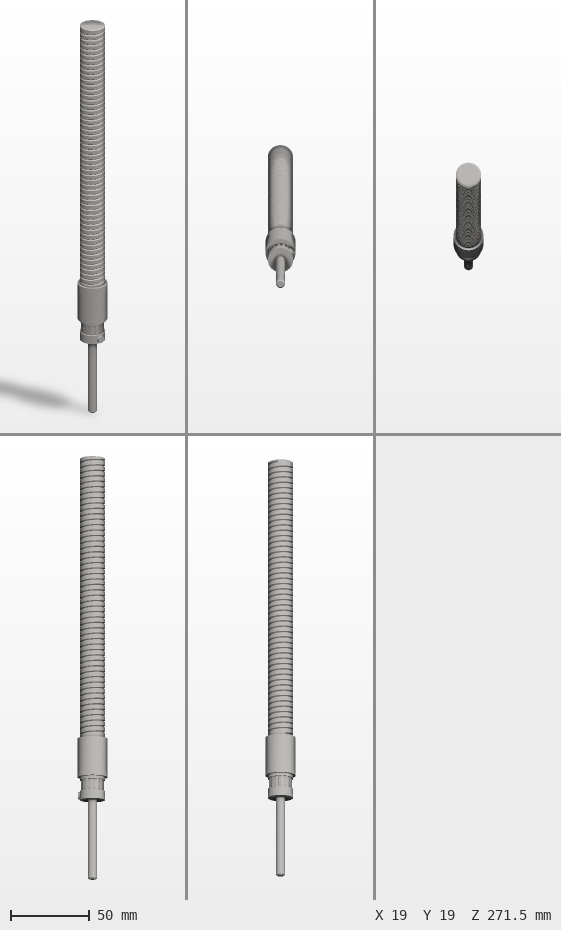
import cadquery as cq
import math

total_height = 271.5
rod_bottom = 63.8
sleeve_bottom = 65.7
sleeve_length = 25.0
ring_top = 56.8
ring_bottom = 51.0

sleeve_radius = 19.0 / 2
rod_radius = 16.0 / 2
ring_radius = rod_radius
spline_radius = 7.3
shaft_radius = 5.7 / 2

rod_chamfer_height = 0.5
rod_chamfer_width = 1.0
shaft_chamfer = 0.8

thread_length = 178.2
thread_turns = 50.9
thread_pitch = thread_length / thread_turns
thread_end_height = 270.0
thread_end_angle = 180.0
groove_width = 1.22
groove_depth = 0.8
groove_overshoot = 0.3

tooth_count = 14
tooth_depth = 0.5
first_gap_angle = 9.6

peg_radius = 2.3
peg_reach = 9.2
peg_angle = -15.0


def cylinder(radius, bottom, top):
    return cq.Workplane("XY").workplane(offset=bottom).circle(radius).extrude(top - bottom)


def make_thread_groove():
    """V-shaped cutter swept up a helix that ends at thread_end_height and thread_end_angle."""
    cutter_radius = rod_radius + groove_overshoot
    cutter_half_width = groove_width / 2 * (1 + groove_overshoot / groove_depth)
    helix = cq.Wire.makeHelix(thread_pitch, thread_length, rod_radius)
    groove = (
        cq.Workplane("XZ")
        .polyline([
            (rod_radius - groove_depth, 0),
            (cutter_radius, cutter_half_width),
            (cutter_radius, -cutter_half_width),
        ])
        .close()
        .sweep(cq.Workplane(obj=helix), isFrenet=True)
    )
    start_angle = (thread_end_angle - 360 * thread_turns) % 360
    start_height = thread_end_height - thread_length
    return groove.rotate((0, 0, 0), (0, 0, 1), start_angle).translate((0, 0, start_height))


def make_rod():
    """Threaded rod with a chamfered top; its plain lower end passes through the sleeve."""
    blank = (
        cq.Workplane("XZ")
        .polyline([
            (0, rod_bottom),
            (rod_radius, rod_bottom),
            (rod_radius, total_height - rod_chamfer_height),
            (rod_radius - rod_chamfer_width, total_height),
            (0, total_height),
        ])
        .close()
        .revolve(360, (0, 0), (0, 1))
    )
    return blank.cut(make_thread_groove())


def make_sleeve():
    """Plain tube around the lower end of the rod."""
    sleeve_top = sleeve_bottom + sleeve_length
    bore = cylinder(rod_radius, sleeve_bottom, sleeve_top)
    return cylinder(sleeve_radius, sleeve_bottom, sleeve_top).cut(bore)


def make_splines():
    """Toothed drum with gaps as wide as the teeth."""
    height = rod_bottom - ring_top
    gap_width = math.pi * spline_radius / tooth_count
    gaps = (
        cq.Workplane("XY")
        .workplane(offset=ring_top)
        .polarArray(spline_radius, first_gap_angle, 360, tooth_count)
        .rect(2 * tooth_depth, gap_width)
        .extrude(height)
    )
    return cylinder(spline_radius, ring_top, rod_bottom).cut(gaps)


def make_peg():
    """Round peg pointing outward at mid-height of the ring."""
    return (
        cq.Workplane("YZ")
        .center(0, (ring_bottom + ring_top) / 2)
        .circle(peg_radius)
        .extrude(peg_reach)
        .rotate((0, 0, 0), (0, 0, 1), peg_angle)
    )


def make_collar():
    """Ring with the splines on top and the peg on its side."""
    ring = cylinder(ring_radius, ring_bottom, ring_top)
    return ring.union(make_splines()).union(make_peg())


def make_shaft():
    """Thin shaft below the ring, chamfered at its tip."""
    return cylinder(shaft_radius, 0, ring_bottom).faces("<Z").chamfer(shaft_chamfer)


rod = make_rod()
sleeve = make_sleeve()
collar = make_collar()
shaft = make_shaft()

result = cq.Compound.makeCompound([rod.val(), sleeve.val(), collar.val(), shaft.val()])